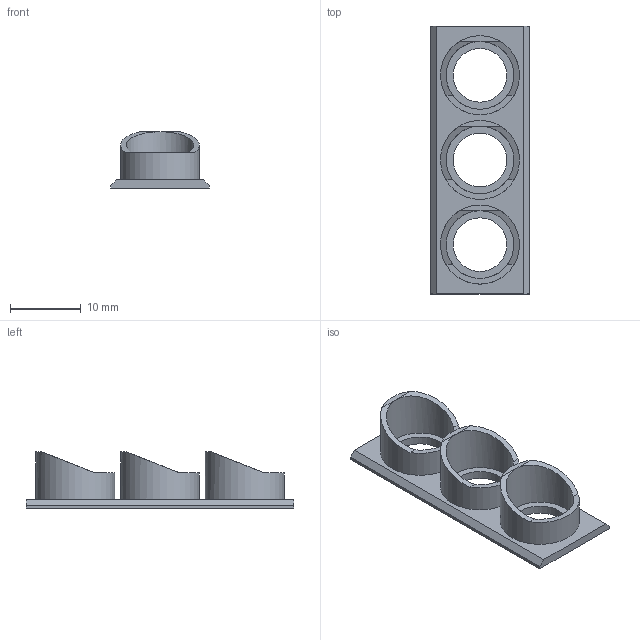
import cadquery as cq

plate_width = 14.0
plate_length = 38.0
plate_thickness = 1.2
edge_height = 0.4
bevel_depth = plate_thickness - edge_height

ring_count = 3
ring_pitch = 12.0
ring_outer_diameter = 11.2
socket_diameter = 9.6
through_hole_diameter = 7.6
socket_floor_height = plate_thickness

rim_low_height = 5.0
rim_high_height = 8.0
slope_start_y = -2.8
slope_end_y = 4.8


def make_plate():
    """Plate lying on Z = 0, its two long top edges bevelled."""
    half_width = plate_width / 2
    top_half_width = half_width - bevel_depth
    return (
        cq.Workplane("XZ")
        .polyline([
            (-half_width, 0),
            (half_width, 0),
            (half_width, edge_height),
            (top_half_width, plate_thickness),
            (-top_half_width, plate_thickness),
            (-half_width, edge_height),
        ])
        .close()
        .extrude(plate_length / 2, both=True)
    )


def make_ring_body():
    """Solid cylinder trimmed to the slanted rim, centred on the Z axis."""
    radius = ring_outer_diameter / 2
    cylinder = cq.Workplane("XY").circle(radius).extrude(rim_high_height)
    side_profile = (
        cq.Workplane("YZ")
        .polyline([
            (-radius, 0),
            (radius, 0),
            (radius, rim_high_height),
            (slope_end_y, rim_high_height),
            (slope_start_y, rim_low_height),
            (-radius, rim_low_height),
        ])
        .close()
        .extrude(radius, both=True)
    )
    return cylinder.intersect(side_profile)


def make_bore():
    """Stepped bore: a wide socket above a narrower through hole."""
    through_hole = cq.Workplane("XY").circle(through_hole_diameter / 2).extrude(rim_high_height)
    socket = (
        cq.Workplane("XY", origin=(0, 0, socket_floor_height))
        .circle(socket_diameter / 2)
        .extrude(rim_high_height - socket_floor_height)
    )
    return through_hole.union(socket)


ring_body = make_ring_body()
bore = make_bore()

result = make_plate()
for index in range(ring_count):
    ring_y = (index - (ring_count - 1) / 2) * ring_pitch
    result = result.union(ring_body.translate((0, ring_y, 0)))
    result = result.cut(bore.translate((0, ring_y, 0)))